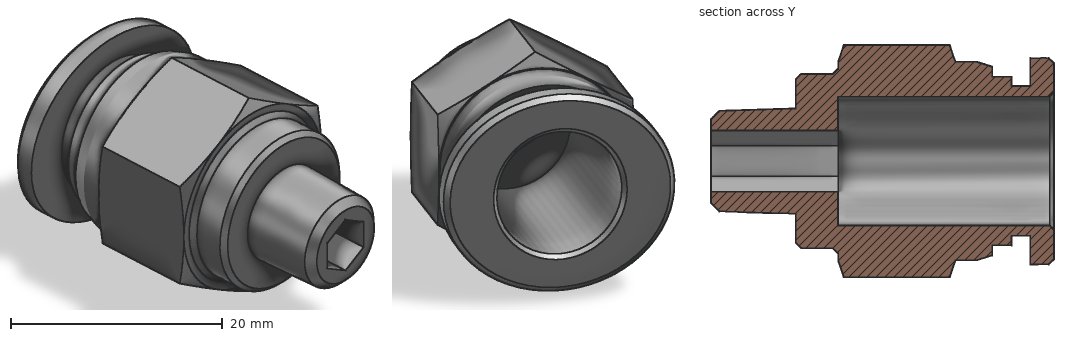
import cadquery as cq
import math

LENGTH = 32.4

FLANGE_WIDTH = 22.5
FLANGE_HEIGHT = 19.55
FLANGE_END = 2.27
NECK_DIAMETER = 14.2

SLEEVE_START = 4.02
SLEEVE_DIAMETER = 15.97
BODY_START = 5.83
BODY_NOSE_DIAMETER = 17.85
BODY_TAPER_END = 7.32
BODY_DIAMETER = 18.8

HEX_START = 9.33
HEX_END = 20.38
HEX_CORNERS = 21.95
HEX_CHAMFER = 0.52
HEX_FLATS = HEX_CORNERS * math.cos(math.pi / 6)

COLLAR_END = 24.4
COLLAR_DIAMETER = 16.5
EDGE_CHAMFER = 0.52

THREAD_ROOT_DIAMETER = 9.98
THREAD_TIP_DIAMETER = 9.53
THREAD_CHAMFER = 0.8

BORE_DIAMETER = 12.15
BORE_DEPTH = HEX_END
BORE_CHAMFER = 0.42
KEY_FLATS = 5.0
KEY_CORNERS = KEY_FLATS / math.cos(math.pi / 6)


def revolve_about_x(points):
    """Turn a closed outline of (x, radius) points about the X axis."""
    return cq.Workplane("XZ").polyline(points).close().revolve(360, (0, 0, 0), (1, 0, 0))


def hex_prism(corners, start, end):
    """Hexagonal bar along X with two corners on the Z axis."""
    prism = cq.Workplane("YZ", origin=(start, 0, 0)).polygon(6, corners).extrude(end - start)
    return prism.rotate((0, 0, 0), (1, 0, 0), 90)


def make_flange():
    flange = cq.Workplane("YZ").ellipse(FLANGE_WIDTH / 2, FLANGE_HEIGHT / 2).extrude(FLANGE_END)
    return flange.faces("<X").chamfer(EDGE_CHAMFER)


def make_turned_body():
    neck = NECK_DIAMETER / 2
    sleeve = SLEEVE_DIAMETER / 2
    body = BODY_DIAMETER / 2
    collar = COLLAR_DIAMETER / 2
    thread_tip = THREAD_TIP_DIAMETER / 2
    return revolve_about_x([
        (FLANGE_END, 0),
        (FLANGE_END, neck),
        (SLEEVE_START, neck),
        (SLEEVE_START, sleeve),
        (BODY_START, sleeve),
        (BODY_START, BODY_NOSE_DIAMETER / 2),
        (BODY_TAPER_END, body),
        (HEX_START, body),
        (HEX_END, collar + EDGE_CHAMFER),
        (HEX_END + EDGE_CHAMFER, collar),
        (COLLAR_END - EDGE_CHAMFER, collar),
        (COLLAR_END, collar - EDGE_CHAMFER),
        (COLLAR_END, THREAD_ROOT_DIAMETER / 2),
        (LENGTH - THREAD_CHAMFER, thread_tip),
        (LENGTH, thread_tip - THREAD_CHAMFER),
        (LENGTH, 0),
    ])


def make_wrench_hex():
    """Hex whose corners are turned down to the across-flats circle at both ends."""
    corner = HEX_CORNERS / 2
    flat = HEX_FLATS / 2
    turned_envelope = revolve_about_x([
        (HEX_START, 0),
        (HEX_START, flat),
        (HEX_START + HEX_CHAMFER, corner),
        (HEX_END - HEX_CHAMFER, corner),
        (HEX_END, flat),
        (HEX_END, 0),
    ])
    return hex_prism(HEX_CORNERS, HEX_START, HEX_END).intersect(turned_envelope)


def make_bore():
    bore = BORE_DIAMETER / 2
    return revolve_about_x([
        (0, 0),
        (0, bore + BORE_CHAMFER),
        (BORE_CHAMFER, bore),
        (BORE_DEPTH, bore),
        (BORE_DEPTH, 0),
    ])


fitting = make_turned_body().union(make_flange()).union(make_wrench_hex())
result = fitting.cut(make_bore()).cut(hex_prism(KEY_CORNERS, 0, LENGTH))